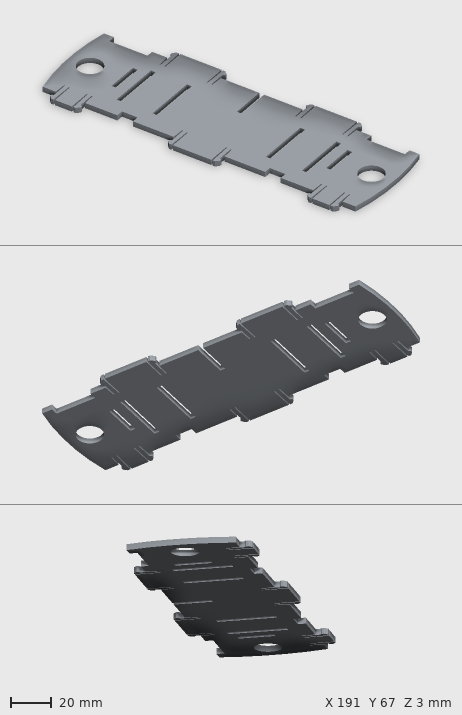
import cadquery as cq
import math

length = 191.0
overall_width = 67.0
thickness = 3.0
tab_projection = 6.1
tip_y = overall_width / 2
edge_y = tip_y - tab_projection

end_radius = 129.9
end_center_y = 1.7

hole_diameter = 14.0
hole_x = 82.9
hole_y = 0.4

slot_width = 2.9
long_slot_length = 30.0
long_slot_y = -1.3
long_slot_positions = (33.5, 54.6)
short_slot_length = 18.5
short_slot_x = 63.2
short_slot_y = 1.3
center_slot_bottom_y = 7.8

notch_depth = 4.0
top_notch_length = 22.5
top_notch_x = 75.8
bottom_notch_length = 9.2
bottom_notch_x = 43.5

slit_depth = 6.9
core_gap_at_root = 0.5
core_gap_at_tip = 0.86
arm_reach = 2.9
hook_reach = 4.0
hook_start = 3.5
hook_flat_start = 2.9
hook_flat_end = 1.7
body_gap_at_root = 0.5
body_gap_at_edge = 0.86
top_tab_core = 24.3
top_tab_x = 40.0
middle_tab_core = 22.5
end_tab_core = 10.0
end_tab_x = 75.8


def box(x_size, y_size, x, y):
    """Full-thickness block centred at (x, y), standing on z = 0."""
    return cq.Workplane("XY").center(x, y).rect(x_size, y_size).extrude(thickness)


def mirrored_polygon(points, x, direction, side):
    """Full-thickness outline given as (offset from x, y), flipped by the signs direction and side."""
    placed = [(x + direction * offset, side * y) for offset, y in points]
    return cq.Workplane("XY").polyline(placed).close().extrude(thickness)


def end_x(y):
    """Distance from the YZ plane to the bowed end face at height y."""
    return length / 2 - end_radius + math.sqrt(end_radius**2 - (y - end_center_y) ** 2)


def make_body():
    corner_top = end_x(edge_y)
    corner_bottom = end_x(-edge_y)
    return (
        cq.Workplane("XY")
        .moveTo(-corner_bottom, -edge_y)
        .lineTo(corner_bottom, -edge_y)
        .threePointArc((length / 2, end_center_y), (corner_top, edge_y))
        .lineTo(-corner_top, edge_y)
        .threePointArc((-length / 2, end_center_y), (-corner_bottom, -edge_y))
        .close()
        .extrude(thickness)
    )


def cut_mirrored(body, x_size, y_size, x, y):
    return body.cut(box(x_size, y_size, x, y)).cut(box(x_size, y_size, -x, y))


def add_tab(body, x, core_width, side):
    """Add a snap tab centred at x on the upper (side = 1) or lower (side = -1) edge."""
    root_y = edge_y - slit_depth
    core_half = core_width / 2
    arm_outer = core_half + arm_reach

    clearance_points = [
        (core_half, root_y),
        (arm_outer + body_gap_at_root, root_y),
        (arm_outer + body_gap_at_edge, edge_y),
        (core_half, edge_y),
    ]
    arm_points = [
        (core_half + core_gap_at_root, root_y),
        (arm_outer, root_y),
        (arm_outer, tip_y - hook_start),
        (core_half + hook_reach, tip_y - hook_flat_start),
        (core_half + hook_reach, tip_y - hook_flat_end),
        (core_half + hook_reach - hook_flat_end, tip_y),
        (core_half + core_gap_at_tip, tip_y),
    ]
    for direction in (-1, 1):
        body = body.cut(mirrored_polygon(clearance_points, x, direction, side))
        body = body.union(mirrored_polygon(arm_points, x, direction, side))

    core_height = tip_y - root_y
    return body.union(box(core_width, core_height, x, side * (tip_y - core_height / 2)))


body = make_body()

body = body.cut(
    cq.Workplane("XY")
    .pushPoints([(-hole_x, hole_y), (hole_x, hole_y)])
    .circle(hole_diameter / 2)
    .extrude(thickness)
)
for slot_x in long_slot_positions:
    body = cut_mirrored(body, slot_width, long_slot_length, slot_x, long_slot_y)
body = cut_mirrored(body, slot_width, short_slot_length, short_slot_x, short_slot_y)
center_slot_length = edge_y - center_slot_bottom_y
body = body.cut(box(slot_width, center_slot_length, 0, edge_y - center_slot_length / 2))

notch_y = edge_y - notch_depth / 2
body = cut_mirrored(body, top_notch_length, notch_depth, top_notch_x, notch_y)
body = cut_mirrored(body, bottom_notch_length, notch_depth, bottom_notch_x, -notch_y)

for mirror in (-1, 1):
    body = add_tab(body, mirror * top_tab_x, top_tab_core, 1)
    body = add_tab(body, mirror * end_tab_x, end_tab_core, -1)
body = add_tab(body, 0, middle_tab_core, -1)

result = body